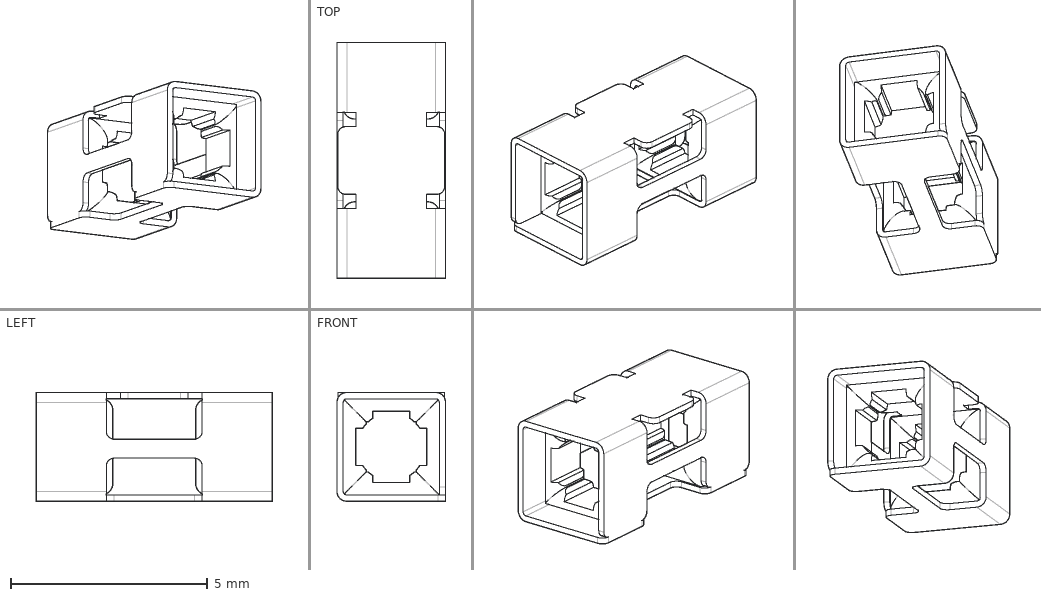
import cadquery as cq

LENGTH = 6.01
WIDTH = 2.77
SHEET = 0.16
BEND_OUTER = 0.25
BEND_INNER = BEND_OUTER - SHEET
CORNER = 0.2

HALF_LENGTH = LENGTH / 2
HALF_WIDTH = WIDTH / 2
INNER_HALF = HALF_WIDTH - SHEET
INNER_WIDTH = 2 * INNER_HALF

OPENING_HALF = 1.22
TIE_HIGH = 0.2
TIE_LOW = -0.29
FLOOR_TIE_LEFT = -0.21
FLOOR_TIE_RIGHT = 0.385

ROOF_NECK_HALF = 0.9
ROOF_WING_HALF = 1.36
ROOF_WING_HALF_LENGTH = 0.865

RING_NEAR = 1.05
RING_LENGTH = 1.22
RING_WALL = 0.59
BORE_RADIUS = 0.865
KEYWAY_HALF_WIDTH = 0.47
KEYWAY_REACH = 0.9


def block(x_range, y_range, z_range):
    """Box given by its limits along X, Y and Z."""
    (x0, x1), (y0, y1), (z0, z1) = x_range, y_range, z_range
    return cq.Workplane("XY").box(x1 - x0, y1 - y0, z1 - z0, centered=False).translate((x0, y0, z0))


def folded_bar(width, bend_radius):
    """Square bar along Y with three rounded edges and one sharp edge at +X, -Z."""
    bar = cq.Workplane("XY").box(width, LENGTH, width)
    return bar.edges("(<X or >Z) and |Y").fillet(bend_radius)


def cavity():
    """Space inside the folded sheet."""
    return folded_bar(INNER_WIDTH, BEND_INNER)


def shell_tube():
    """Square tube with three folded corners and a butt seam along the fourth."""
    return folded_bar(WIDTH, BEND_OUTER).cut(cavity())


def middle_opening():
    """Clears the walls, floor and folds between the sockets."""
    return block((-WIDTH, WIDTH), (-OPENING_HALF, OPENING_HALF), (-WIDTH, WIDTH))


def side_tie_windows():
    """Windows above and below the ties, cut through both side walls."""
    y_range = (-OPENING_HALF, OPENING_HALF)
    upper = block((-WIDTH, WIDTH), y_range, (TIE_HIGH, WIDTH)).edges("|X and <Z").fillet(CORNER)
    lower = block((-WIDTH, WIDTH), y_range, (-INNER_HALF, TIE_LOW)).edges("|X and >Z").fillet(CORNER)
    return upper, lower


def side_ties():
    """Narrow straps that join the sockets in the two side walls."""
    ties = []
    upper, lower = side_tie_windows()
    for x0 in (-HALF_WIDTH, INNER_HALF):
        strap = block((x0, x0 + SHEET), (-OPENING_HALF, OPENING_HALF), (-INNER_HALF, INNER_HALF))
        ties.append(strap.cut(upper).cut(lower))
    return ties


def floor_tie():
    """Narrow strap that joins the sockets in the floor."""
    y_range = (-OPENING_HALF, OPENING_HALF)
    z_range = (-HALF_WIDTH, -INNER_HALF)
    strap = block((-HALF_WIDTH, HALF_WIDTH), y_range, z_range)
    left = block((-WIDTH, FLOOR_TIE_LEFT), y_range, z_range).edges("|Z and >X").fillet(CORNER)
    right = block((FLOOR_TIE_RIGHT, WIDTH), y_range, z_range).edges("|Z and <X").fillet(CORNER)
    return strap.cut(left).cut(right)


def roof():
    """Neck that joins the sockets in the roof, with a wide round-cornered wing plate."""
    z_range = (INNER_HALF, HALF_WIDTH)
    neck = block((-ROOF_NECK_HALF, ROOF_NECK_HALF), (-OPENING_HALF, OPENING_HALF), z_range)
    wing = block(
        (-ROOF_WING_HALF, ROOF_WING_HALF),
        (-ROOF_WING_HALF_LENGTH, ROOF_WING_HALF_LENGTH),
        z_range,
    )
    return neck.union(wing.edges("|Z").fillet(CORNER))


def corner_waste(radius):
    """Waste left when the +X+Y corner of a plate, at the origin, is rounded off."""
    square = cq.Workplane("XY").rect(radius, radius).extrude(SHEET)
    square = square.translate((-radius / 2, -radius / 2, 0))
    disc = cq.Workplane("XY").center(-radius, -radius).circle(radius).extrude(SHEET)
    return square.cut(disc)


def seam_corner_wastes():
    """Rounded plate corners where the +X wall meets the floor, at both ends of each socket."""
    wastes = []
    for y, mirrored in (
        (HALF_LENGTH, False),
        (OPENING_HALF, True),
        (-OPENING_HALF, False),
        (-HALF_LENGTH, True),
    ):
        floor_waste = corner_waste(CORNER)
        if mirrored:
            floor_waste = floor_waste.mirror("XZ")
        wall_waste = floor_waste.rotate((0, 0, 0), (0, 1, 0), 90)
        wastes.append(floor_waste.translate((HALF_WIDTH, y, -HALF_WIDTH)))
        wastes.append(wall_waste.translate((INNER_HALF, y, -INNER_HALF)))
    return wastes


def make_shell():
    """Folded sheet: two sockets joined by the roof, the floor tie and the side ties."""
    shell = shell_tube().cut(middle_opening())
    for waste in seam_corner_wastes():
        shell = shell.cut(waste)
    for bridge in (*side_ties(), floor_tie(), roof()):
        shell = shell.union(bridge)
    return shell


def ring_side():
    """Upper side of a ring: a bar with full-round ends, mitred at both corners."""
    bar = (
        cq.Workplane("YZ")
        .center(0, INNER_HALF - RING_WALL / 2)
        .slot2D(RING_LENGTH, RING_WALL)
        .extrude(INNER_HALF, both=True)
    )
    mitre = (
        cq.Workplane("XZ")
        .polyline([(0, 0), (INNER_HALF, INNER_HALF), (-INNER_HALF, INNER_HALF)])
        .close()
        .extrude(RING_LENGTH, both=True)
    )
    return bar.intersect(mitre)


def make_ring(center_y):
    """Square ring with a round bore and four keyways along Y."""
    ring = cq.Workplane("XY")
    for quarter in range(4):
        ring = ring.union(ring_side().rotate((0, 0, 0), (0, 1, 0), 90 * quarter))
    bore = cq.Workplane("XZ").circle(BORE_RADIUS).extrude(RING_LENGTH, both=True)
    keyways_x = cq.Workplane("XY").box(2 * KEYWAY_REACH, RING_LENGTH, 2 * KEYWAY_HALF_WIDTH)
    keyways_z = cq.Workplane("XY").box(2 * KEYWAY_HALF_WIDTH, RING_LENGTH, 2 * KEYWAY_REACH)
    ring = ring.cut(bore).cut(keyways_x).cut(keyways_z)
    return ring.intersect(cavity()).translate((0, center_y, 0))


shell = make_shell().solids()
rings = [make_ring(side * (RING_NEAR + RING_LENGTH / 2)) for side in (-1, 1)]

result = cq.Compound.makeCompound([shell.val(), *[ring.solids().val() for ring in rings]])